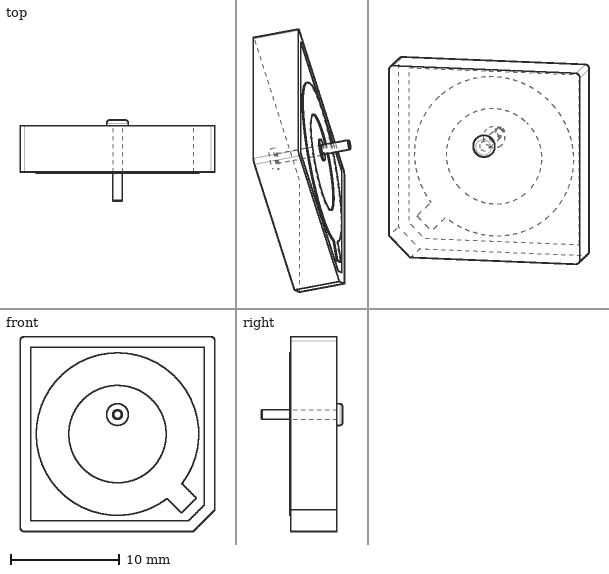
import cadquery as cq

side = 18.0
half_side = side / 2
front_y = 0.0
block_depth = 4.28
corner_radius = 0.4
corner_cut = 2.0

plate_side = 16.0
plate_corner_cut = 1.44
plate_depth = 0.009

ring_outer_radius = 7.5
ring_inner_radius = 4.5
ring_depth = 0.1
tab_width = 1.95
tab_reach = 9.32
tab_angle = 45

pin_z = 1.8
pin_radius = 0.45
pin_reach = 2.7
pin_tip_chamfer = 0.09
head_radius = 1.0
head_depth = 0.52
head_fillet = 0.29

collar_radius = 1.0
collar_rise = 0.1

back_y = front_y + block_depth


def slab(profile_size, cut, y_front, depth):
    """Square slab with its +X, -Z corner cut off at 45 degrees."""
    half = profile_size / 2
    outline = [(-half, -half), (half - cut, -half), (half, cut - half), (half, half), (-half, half)]
    return cq.Workplane("XZ", origin=(0, y_front, 0)).polyline(outline).close().extrude(-depth)


def disc(radius, y_front, depth, z=0.0):
    """Round disc along Y, starting at y_front and running towards +Y."""
    return cq.Workplane("XZ", origin=(0, y_front, z)).circle(radius).extrude(-depth)


def make_block():
    """Slab with three rounded corners, a plate recess and a pin hole."""
    body = slab(side, corner_cut, front_y, block_depth)
    rounded_corners = [(-half_side, -half_side), (-half_side, half_side), (half_side, half_side)]
    middle_y = front_y + block_depth / 2
    for x, z in rounded_corners:
        body = body.edges(cq.selectors.NearestToPointSelector((x, middle_y, z))).fillet(corner_radius)
    recess = slab(plate_side, plate_corner_cut, front_y, plate_depth)
    pin_hole = disc(pin_radius, front_y, block_depth, pin_z)
    return body.cut(recess).cut(pin_hole)


def make_plate():
    """Thin electrode with a hole for the collar."""
    plate = slab(plate_side, plate_corner_cut, front_y, plate_depth)
    return plate.cut(disc(collar_radius, front_y, plate_depth, pin_z))


def make_ring():
    """Flat ring on the electrode, with a rectangular tab at 45 degrees."""
    ring_front = front_y - ring_depth
    tab_start = (ring_inner_radius + ring_outer_radius) / 2
    tab = (
        cq.Workplane("XZ", origin=(0, ring_front, 0))
        .center((tab_start + tab_reach) / 2, 0)
        .rect(tab_reach - tab_start, tab_width)
        .extrude(-ring_depth)
        .rotate((0, 0, 0), (0, 1, 0), tab_angle)
    )
    ring = disc(ring_outer_radius, ring_front, ring_depth).union(tab)
    return ring.cut(disc(ring_inner_radius, ring_front, ring_depth))


def make_collar():
    """Washer between the electrode and the pin."""
    collar_front = front_y - collar_rise
    collar_depth = collar_rise + plate_depth
    washer = disc(collar_radius, collar_front, collar_depth, pin_z)
    return washer.cut(disc(pin_radius, collar_front, collar_depth, pin_z))


def make_pin():
    """Chamfered shank through the block, with its head on the back face."""
    shank = disc(pin_radius, front_y - pin_reach, pin_reach + block_depth, pin_z)
    shank = shank.faces("<Y").chamfer(pin_tip_chamfer)
    head = disc(head_radius, back_y, head_depth, pin_z).faces(">Y").edges().fillet(head_fillet)
    return shank.union(head)


block = make_block()
plate = make_plate()
ring = make_ring()
collar = make_collar()
pin = make_pin()

result = cq.Compound.makeCompound([block.val(), plate.val(), ring.val(), collar.val(), pin.val()])